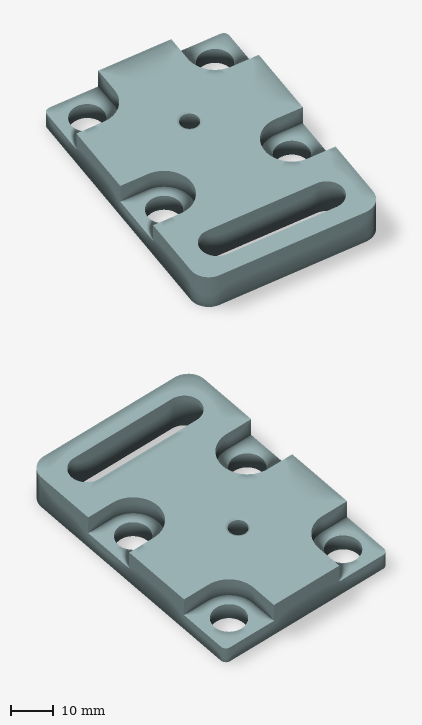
import cadquery as cq
import math

length = 72.0
width = 50.0
thickness = 10.0
left_corner_radius = 1.5
right_corner_radius = 5.0

hole_diameter = 9.0
hole_edge_distance = 7.5
hole_pitch_x = 35.0
recess_radius = hole_edge_distance
recess_depth = 5.3

center_hole_diameter = 5.0
countersink_width = 0.5
countersink_angle = 120.0

slot_length = 39.0
slot_width = 9.0
slot_center_from_right = 9.5

left_hole_x = -length / 2 + hole_edge_distance
right_hole_x = left_hole_x + hole_pitch_x
center_hole_x = (left_hole_x + right_hole_x) / 2
hole_y = width / 2 - hole_edge_distance
floor_z = thickness - recess_depth
countersink_depth = countersink_width / math.tan(math.radians(countersink_angle / 2))


def block(x_min, x_max, y_min, y_max):
    """Box over the given rectangle, from the recess floor to the top face."""
    return (
        cq.Workplane("XY")
        .box(x_max - x_min, y_max - y_min, recess_depth, centered=False)
        .translate((x_min, y_min, floor_z))
    )


def recess(x, side):
    """Round-ended recess about a hole, open to the edge on the given Y side (+1 or -1)."""
    y = side * hole_y
    y_edge = side * width / 2
    round_end = (
        cq.Workplane("XY", origin=(x, y, floor_z))
        .circle(recess_radius)
        .extrude(recess_depth)
    )
    channel = block(x - recess_radius, x + recess_radius, min(y, y_edge), max(y, y_edge))
    return round_end.union(channel)


def left_recess(side):
    """Recess at a left corner, open to the left edge as well."""
    y_far = side * width / 2
    y_near = side * (hole_y - recess_radius)
    left_channel = block(-length / 2, left_hole_x, min(y_near, y_far), max(y_near, y_far))
    return recess(left_hole_x, side).union(left_channel)


plate = cq.Workplane("XY").box(length, width, thickness, centered=(True, True, False))
plate = plate.edges("|Z and <X").fillet(left_corner_radius)
plate = plate.edges("|Z and >X").fillet(right_corner_radius)

for side in (-1, 1):
    plate = plate.cut(left_recess(side))
    plate = plate.cut(recess(right_hole_x, side))

mounting_holes = (
    cq.Workplane("XY")
    .pushPoints([(x, y) for x in (left_hole_x, right_hole_x) for y in (-hole_y, hole_y)])
    .circle(hole_diameter / 2)
    .extrude(thickness)
)

center_hole = (
    cq.Workplane("XY", origin=(center_hole_x, 0, 0))
    .circle(center_hole_diameter / 2)
    .extrude(thickness)
)
center_countersink = (
    cq.Workplane("XY", origin=(center_hole_x, 0, thickness))
    .circle(center_hole_diameter / 2 + countersink_width)
    .workplane(offset=-countersink_depth)
    .circle(center_hole_diameter / 2)
    .loft()
)

slot = (
    cq.Workplane("XY", origin=(length / 2 - slot_center_from_right, 0, 0))
    .slot2D(slot_length, slot_width, 90)
    .extrude(thickness)
)

result = plate.cut(mounting_holes).cut(center_hole).cut(center_countersink).cut(slot)